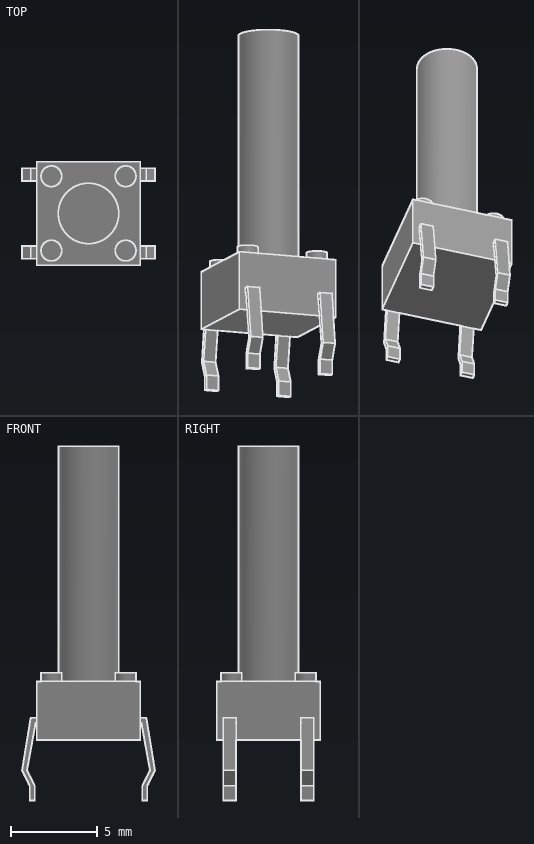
import cadquery as cq

housing_side = 6.0
housing_height = 3.4

stud_diameter = 1.2
stud_height = 0.5
stud_spacing = 4.3

button_diameter = 3.5
button_top = 17.0

leg_width = 0.75
leg_spacing = 4.5
leg_thickness = 0.3
leg_top = 1.3
leg_bend = -1.75
leg_foot_top = -2.65
leg_bottom = -3.5
leg_start_reach = 3.35
leg_bend_reach = 3.85
leg_foot_reach = 3.4


def make_leg(center_y):
    """Leg on the +X side, with its root buried in the housing wall."""
    root_x = housing_side / 2 - leg_thickness
    root_bottom = leg_top - leg_thickness
    outline = [
        (root_x, leg_top),
        (leg_start_reach, leg_top),
        (leg_bend_reach, leg_bend),
        (leg_foot_reach, leg_foot_top),
        (leg_foot_reach, leg_bottom),
        (leg_foot_reach - leg_thickness, leg_bottom),
        (leg_foot_reach - leg_thickness, leg_foot_top),
        (leg_bend_reach - leg_thickness, leg_bend),
        (leg_start_reach - leg_thickness, root_bottom),
        (root_x, root_bottom),
    ]
    plane = cq.Workplane("XZ", origin=(0, center_y, 0))
    return plane.polyline(outline).close().extrude(leg_width / 2, both=True)


def make_housing():
    """Block with its studs and legs, joined into one solid."""
    block = cq.Workplane("XY").box(
        housing_side, housing_side, housing_height, centered=(True, True, False)
    )
    studs = (
        cq.Workplane("XY", origin=(0, 0, housing_height))
        .rect(stud_spacing, stud_spacing, forConstruction=True)
        .vertices()
        .circle(stud_diameter / 2)
        .extrude(stud_height)
    )
    body = block.union(studs)
    for center_y in (-leg_spacing / 2, leg_spacing / 2):
        leg = make_leg(center_y)
        body = body.union(leg).union(leg.mirror("YZ"))
    return body


def make_button():
    """Plain round button resting on the housing's top face."""
    return (
        cq.Workplane("XY", origin=(0, 0, housing_height))
        .circle(button_diameter / 2)
        .extrude(button_top - housing_height)
    )


housing = make_housing()
button = make_button()

result = cq.Compound.makeCompound([housing.val(), button.val()])